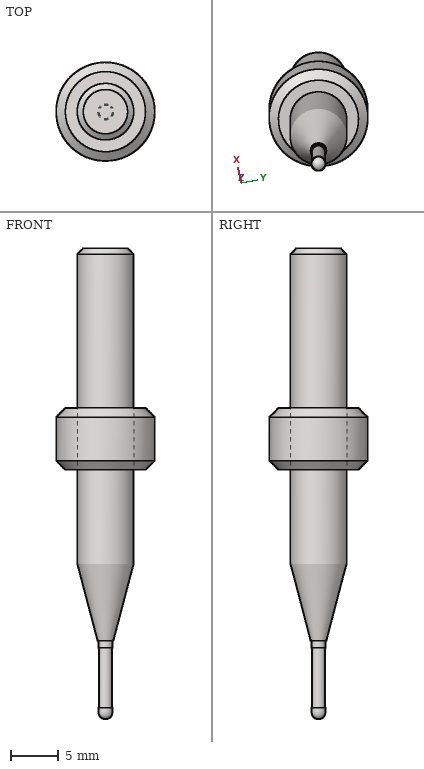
import cadquery as cq
import math

TOTAL_LENGTH = 50.0

SHANK_RADIUS = 3.0
SHANK_CHAMFER = 0.65
SHANK_BOTTOM = 16.5

TIP_RADIUS = 0.75
NECK_RADIUS = 0.7
TAPER_END_RADIUS = 0.85
TAPER_BOTTOM = 8.35
NECK_TOP = 7.6
NECK_BOTTOM = 1.2

COLLAR_RADIUS = 5.25
COLLAR_HEIGHT = 6.6
COLLAR_BOTTOM = 26.45
COLLAR_CHAMFER = 1.0


def make_tool():
    """Revolve the half profile of the tool, with a hemispherical tip, about Z."""
    arc_offset = TIP_RADIUS * math.sqrt(0.5)
    return (
        cq.Workplane("XZ")
        .moveTo(0, 0)
        .threePointArc((arc_offset, TIP_RADIUS - arc_offset), (TIP_RADIUS, TIP_RADIUS))
        .lineTo(TIP_RADIUS, NECK_BOTTOM)
        .lineTo(NECK_RADIUS, NECK_BOTTOM)
        .lineTo(NECK_RADIUS, NECK_TOP)
        .lineTo(TIP_RADIUS, NECK_TOP)
        .lineTo(TIP_RADIUS, TAPER_BOTTOM)
        .lineTo(TAPER_END_RADIUS, TAPER_BOTTOM)
        .lineTo(SHANK_RADIUS, SHANK_BOTTOM)
        .lineTo(SHANK_RADIUS, TOTAL_LENGTH - SHANK_CHAMFER)
        .lineTo(SHANK_RADIUS - SHANK_CHAMFER, TOTAL_LENGTH)
        .lineTo(0, TOTAL_LENGTH)
        .close()
        .revolve(360, (0, 0), (0, 1))
    )


def make_collar():
    """Ring with chamfered outer rims and a bore that fits the shank."""
    blank = (
        cq.Workplane("XY")
        .workplane(offset=COLLAR_BOTTOM)
        .circle(COLLAR_RADIUS)
        .extrude(COLLAR_HEIGHT)
        .faces("<Z or >Z")
        .chamfer(COLLAR_CHAMFER)
    )
    bore = (
        cq.Workplane("XY")
        .workplane(offset=COLLAR_BOTTOM)
        .circle(SHANK_RADIUS)
        .extrude(COLLAR_HEIGHT)
    )
    return blank.cut(bore)


tool = make_tool()
collar = make_collar()

result = cq.Compound.makeCompound([tool.val(), collar.val()])